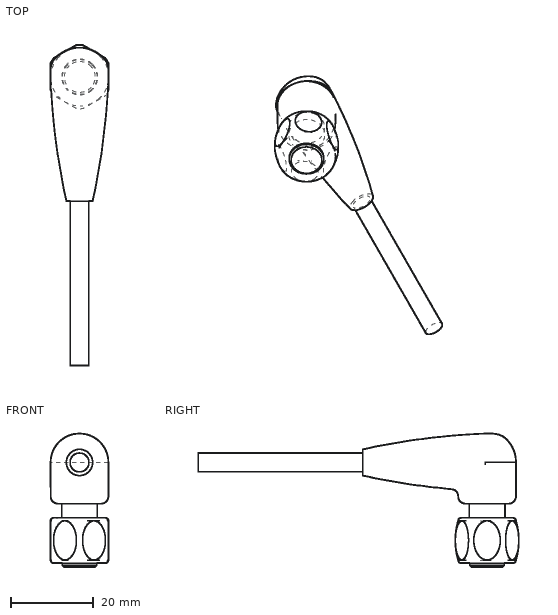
import cadquery as cq
import math


housing_diameter = 14.0
housing_radius = housing_diameter / 2
housing_bottom = -10.0
housing_round = 1.85
dome_start = 1.2

sleeve_start = -0.4
sleeve_shoulder = -6.4
shoulder_radius = 6.65
sleeve_middle = -16.25
middle_radius = 5.65
collar_start = -26.9
collar_start_radius = 3.9
collar_end = -30.0
collar_end_radius = 3.2
crotch_blend = 1.55
selection_margin = 0.4

overall_length = 77.4
cable_diameter = 4.6

neck_diameter = 8.7
nut_across_flats = 14.0
nut_max_diameter = 15.4
nut_top = -13.3
nut_bottom = -24.3
nut_round = 0.8
insert_diameter = 8.35
insert_bottom = -25.2
insert_chamfer = 0.5

cable_end = nut_max_diameter / 2 - overall_length


def vertical_cylinder(diameter, bottom, top):
    return cq.Workplane("XY").workplane(offset=bottom).circle(diameter / 2).extrude(top - bottom)


def make_sleeve():
    """Tapering grip with a short conical collar, turned about the cable axis."""
    return (
        cq.Workplane("XY")
        .moveTo(0, collar_end)
        .lineTo(collar_end_radius, collar_end)
        .lineTo(collar_start_radius, collar_start)
        .spline(
            [
                (middle_radius, sleeve_middle),
                (shoulder_radius, sleeve_shoulder),
                (housing_radius, sleeve_start),
            ],
            includeCurrent=True,
        )
        .lineTo(0, sleeve_start)
        .close()
        .revolve(360, (0, 0, 0), (0, 1, 0))
    )


def make_dome():
    """Upper half of a short band and an elliptical end that reaches the back of the barrel."""
    dome_depth = housing_radius - dome_start
    band = (
        cq.Workplane("XZ", origin=(0, sleeve_start, 0))
        .circle(housing_radius)
        .extrude(sleeve_start - dome_start)
    )
    diagonal = math.sqrt(0.5)
    cap = (
        cq.Workplane("XY")
        .moveTo(0, dome_start)
        .lineTo(housing_radius, dome_start)
        .spline(
            [
                (housing_radius * diagonal, dome_start + dome_depth * diagonal),
                (0, housing_radius),
            ],
            tangents=[(0, 1), (-1, 0)],
            includeCurrent=True,
        )
        .close()
        .revolve(360, (0, 0, 0), (0, 1, 0))
    )
    upper_half = vertical_cylinder(2 * housing_diameter, 0, housing_diameter)
    return band.union(cap).intersect(upper_half)


def make_housing():
    """Upright barrel joined to the sleeve, with a blended inner corner, under the dome."""
    barrel = vertical_cylinder(housing_diameter, housing_bottom, 0)
    barrel = barrel.faces("<Z").edges().fillet(housing_round)
    inner_corner = cq.selectors.BoxSelector(
        (-housing_radius, -housing_diameter, housing_bottom + housing_round + selection_margin),
        (housing_radius, -selection_margin, -selection_margin),
    )
    elbow = barrel.union(make_sleeve()).edges(inner_corner).fillet(crotch_blend)
    return elbow.union(make_dome())


def make_nut():
    """Barrel-shaped nut whose bulge is cut by six flats, with corners on Y."""
    half_height = (nut_top - nut_bottom) / 2
    middle = (nut_top + nut_bottom) / 2
    flat_radius = nut_across_flats / 2
    rim_radius = flat_radius - nut_round
    side_height = half_height - nut_round
    corner = nut_round * math.sqrt(0.5)
    barrel = (
        cq.Workplane("XZ")
        .moveTo(0, middle - half_height)
        .lineTo(rim_radius, middle - half_height)
        .threePointArc(
            (rim_radius + corner, middle - side_height - corner),
            (flat_radius, middle - side_height),
        )
        .threePointArc((nut_max_diameter / 2, middle), (flat_radius, middle + side_height))
        .threePointArc(
            (rim_radius + corner, middle + side_height + corner),
            (rim_radius, middle + half_height),
        )
        .lineTo(0, middle + half_height)
        .close()
        .revolve(360, (0, 0, 0), (0, 1, 0))
    )
    hexagon = (
        cq.Workplane("XY")
        .workplane(offset=nut_bottom)
        .polygon(6, nut_across_flats, circumscribed=True)
        .extrude(nut_top - nut_bottom)
    )
    return barrel.intersect(hexagon)


def make_insert():
    insert = vertical_cylinder(insert_diameter, insert_bottom, nut_top)
    return insert.faces("<Z").edges().chamfer(insert_chamfer)


cable = cq.Workplane("XZ").circle(cable_diameter / 2).extrude(-cable_end)
neck = vertical_cylinder(neck_diameter, nut_top, housing_bottom)

result = make_housing().union(cable).union(neck).union(make_nut()).union(make_insert())